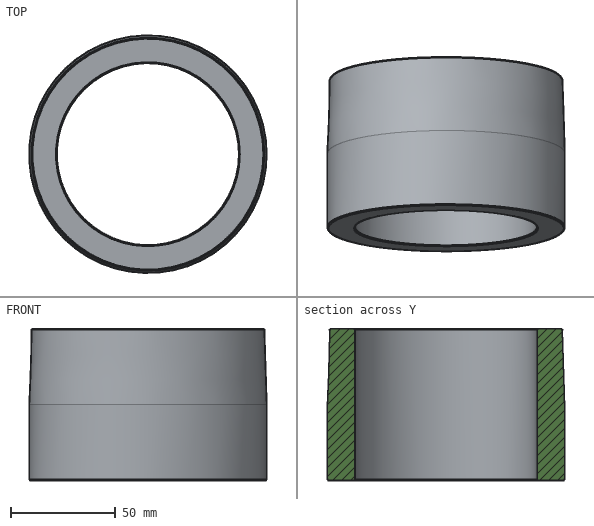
import cadquery as cq

outer_diameter = 114.3
bore_diameter = 87.3125
height = 73.025

straight_height = 36.7
top_diameter = 112.0

edge_chamfer = 0.6

outer_radius = outer_diameter / 2
bore_radius = bore_diameter / 2
top_radius = top_diameter / 2


def ring_body():
    """Ring with a straight lower part and an upper part that narrows in an even taper."""
    half_section = (
        cq.Workplane("XZ")
        .moveTo(bore_radius, 0)
        .lineTo(outer_radius, 0)
        .lineTo(outer_radius, straight_height)
        .lineTo(top_radius, height)
        .lineTo(bore_radius, height)
        .close()
    )
    return half_section.revolve(360, (0, 0, 0), (0, 1, 0))


def break_end_edges(body):
    """Chamfer the inner and outer rims of both end faces."""
    return body.faces("<Z or >Z").edges().chamfer(edge_chamfer)


result = break_end_edges(ring_body())